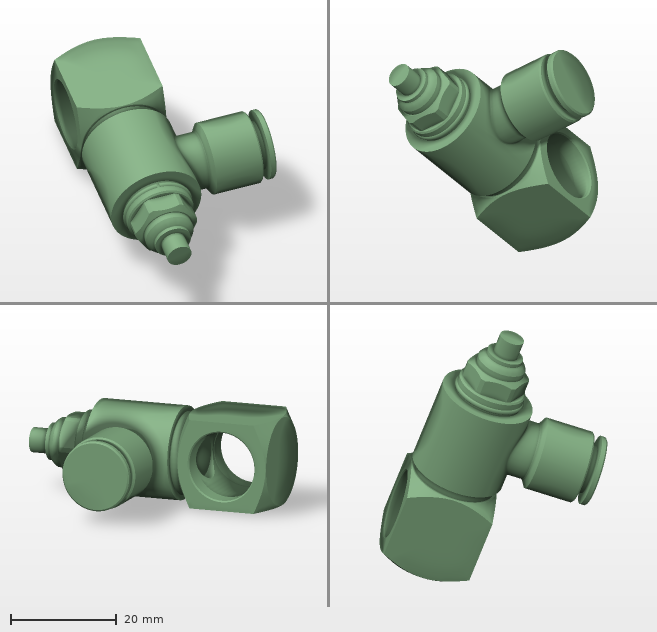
import cadquery as cq
import math


HEAD_LENGTH = 17.95
HEAD_WIDTH = 17.1
HEAD_FACE_RADIUS = 16.85 / 2
HEAD_CORNER_SETBACK = 2.5
HEAD_CORNER_RADIUS = HEAD_WIDTH / math.sqrt(2)
PORT_RADIUS = 13.2 / 2
PORT_CHAMFER = 0.25
RELIEF_RADIUS = 13.5 / 2
RELIEF_WIDTH = 9.65
PASSAGE_RADIUS = 4.4
PASSAGE_END = 16.05

NECK_RADIUS = 16.0 / 2
NECK_CHAMFER = 0.3
STEM_RADIUS = 13.2 / 2
BAND_END = 39.65
BAND_CHAMFER = 0.3

RING_START = 37.05
RING_WIRE_RADIUS = 0.55
RING_OUTER_RADIUS = 6.9
RING_SPLIT = 0.5

HEX_ACROSS_FLATS = 11.05
HEX_CORNER_RADIUS = 6.15
HEX_CHAMFER_START = 42.65
HEX_END = 43.4
HEX_END_RADIUS = 5.0

COLLAR_RADIUS = 9.5 / 2
COLLAR_END = 44.6
SHOULDER_RADIUS = 7.1 / 2
DOME_END = 45.8
DOME_BULGE = 0.15
SHOULDER_END = 46.6
ROD_RADIUS = 4.8 / 2
TOTAL_LENGTH = 50.3

SLEEVE_START = 19.75
SLEEVE_END = 36.7
SLEEVE_RADIUS = 18.0 / 2

BRANCH_X = 28.25
BRANCH_NECK_RADIUS = 11.0 / 2
BRANCH_FILLET = 0.3
JOINT_MARGIN = 0.5
BRANCH_CONE_START = 11.5
BRANCH_RIM_RADIUS = 5.7
BRANCH_RIM_HEIGHT = 0.25
SOCKET_RADIUS = 14.0 / 2
SOCKET_START = 12.65
SOCKET_END = 22.05
SOCKET_CHAMFER = 0.3
LIP_RADIUS = 5.05
LIP_END = 22.25
COLLET_NECK_RADIUS = 9.4 / 2
FLANGE_RADIUS = 13.5 / 2
COLLET_NECK_END = 23.3
FLANGE_START = 23.55
FLANGE_CHAMFER = 0.3
BRANCH_END = 24.7


def x_cylinder(radius, start, end):
    return cq.Workplane("YZ", origin=(start, 0, 0)).circle(radius).extrude(end - start)


def x_turning(profile):
    """Revolve a closed (x, radius) profile around the X axis."""
    return cq.Workplane("XY").polyline(profile).close().revolve(360, (0, 0, 0), (1, 0, 0))


def y_cylinder(radius, x, start, end):
    return cq.Workplane("XZ", origin=(x, start, 0)).circle(radius).extrude(start - end)


def make_head():
    """Square block with conical corners, and a cross port that is relieved at mid-width."""
    head = cq.Workplane("XY").box(HEAD_LENGTH, HEAD_WIDTH, HEAD_WIDTH).translate((HEAD_LENGTH / 2, 0, 0))
    head = head.intersect(x_turning([
        (0, 0),
        (0, HEAD_FACE_RADIUS),
        (HEAD_CORNER_SETBACK, HEAD_CORNER_RADIUS),
        (HEAD_LENGTH - HEAD_CORNER_SETBACK, HEAD_CORNER_RADIUS),
        (HEAD_LENGTH, HEAD_FACE_RADIUS),
        (HEAD_LENGTH, 0),
    ]))
    port = y_cylinder(PORT_RADIUS, HEAD_LENGTH / 2, -HEAD_WIDTH / 2, HEAD_WIDTH / 2)
    head = head.cut(port)
    relief = y_cylinder(RELIEF_RADIUS, HEAD_LENGTH / 2, -RELIEF_WIDTH / 2, RELIEF_WIDTH / 2)
    head = head.cut(relief)
    return head.faces("<Y or >Y").edges("%CIRCLE").chamfer(PORT_CHAMFER)


def make_stem():
    """Neck, bearing stem and end band."""
    return x_turning([
        (HEAD_LENGTH, 0),
        (HEAD_LENGTH, NECK_RADIUS),
        (SLEEVE_START - NECK_CHAMFER, NECK_RADIUS),
        (SLEEVE_START, NECK_RADIUS - NECK_CHAMFER),
        (SLEEVE_START, STEM_RADIUS),
        (BAND_END - BAND_CHAMFER, STEM_RADIUS),
        (BAND_END, STEM_RADIUS - BAND_CHAMFER),
        (BAND_END, 0),
    ])


def make_ring():
    """Round-wire ring with its split on the +Z side."""
    wire_x = RING_START + RING_WIRE_RADIUS
    wire_y = RING_OUTER_RADIUS - RING_WIRE_RADIUS
    ring = (
        cq.Workplane("XY").center(wire_x, wire_y).circle(RING_WIRE_RADIUS)
        .revolve(360, (0, -wire_y, 0), (1, -wire_y, 0))
    )
    split = cq.Workplane("XY").box(2 * RING_WIRE_RADIUS, RING_SPLIT, RING_OUTER_RADIUS, (True, True, False))
    return ring.cut(split.translate((wire_x, 0, 0)))


def make_nut():
    hex_diameter = HEX_ACROSS_FLATS / math.cos(math.pi / 6)
    prism = cq.Workplane("YZ", origin=(BAND_END, 0, 0)).polygon(6, hex_diameter).extrude(HEX_END - BAND_END)
    return prism.intersect(x_turning([
        (BAND_END, 0),
        (BAND_END, HEX_CORNER_RADIUS),
        (HEX_CHAMFER_START, HEX_CORNER_RADIUS),
        (HEX_END, HEX_END_RADIUS),
        (HEX_END, 0),
    ]))


def make_tip():
    """Collar, bulging dome, shoulder and end rod."""
    push = DOME_BULGE / math.sqrt(2)
    dome_middle = ((COLLAR_END + DOME_END) / 2 + push, (COLLAR_RADIUS + SHOULDER_RADIUS) / 2 + push)
    outline = (
        cq.Workplane("XY").moveTo(HEX_END, 0)
        .lineTo(HEX_END, COLLAR_RADIUS)
        .lineTo(COLLAR_END, COLLAR_RADIUS)
        .threePointArc(dome_middle, (DOME_END, SHOULDER_RADIUS))
        .lineTo(SHOULDER_END, SHOULDER_RADIUS)
        .lineTo(SHOULDER_END, ROD_RADIUS)
        .lineTo(TOTAL_LENGTH, ROD_RADIUS)
        .lineTo(TOTAL_LENGTH, 0)
        .close()
    )
    return outline.revolve(360, (0, 0, 0), (1, 0, 0))


def make_spindle():
    spindle = make_head().union(make_stem()).union(make_ring()).union(make_nut()).union(make_tip())
    return spindle.cut(x_cylinder(PASSAGE_RADIUS, HEAD_LENGTH / 2, PASSAGE_END))


def make_branch_end():
    """Socket and collet at the end of the branch, turned around the branch axis."""
    profile = [
        (0, BRANCH_CONE_START),
        (BRANCH_NECK_RADIUS, BRANCH_CONE_START),
        (BRANCH_RIM_RADIUS, BRANCH_CONE_START + BRANCH_RIM_HEIGHT),
        (SOCKET_RADIUS, SOCKET_START),
        (SOCKET_RADIUS, SOCKET_END - SOCKET_CHAMFER),
        (SOCKET_RADIUS - SOCKET_CHAMFER, SOCKET_END),
        (LIP_RADIUS, SOCKET_END),
        (LIP_RADIUS, LIP_END),
        (COLLET_NECK_RADIUS, LIP_END),
        (COLLET_NECK_RADIUS, COLLET_NECK_END),
        (FLANGE_RADIUS, FLANGE_START),
        (FLANGE_RADIUS, BRANCH_END - FLANGE_CHAMFER),
        (FLANGE_RADIUS - FLANGE_CHAMFER, BRANCH_END),
        (0, BRANCH_END),
    ]
    turned = cq.Workplane("XY").polyline(profile).close().revolve(360, (0, 0, 0), (0, 1, 0))
    return turned.translate((BRANCH_X, 0, 0))


def make_elbow():
    """Sleeve with its branch, bored to fit the stem."""
    sleeve = x_cylinder(SLEEVE_RADIUS, SLEEVE_START, SLEEVE_END)
    elbow = sleeve.union(y_cylinder(BRANCH_NECK_RADIUS, BRANCH_X, 0, BRANCH_CONE_START))
    joint = cq.selectors.BoxSelector(
        (SLEEVE_START + JOINT_MARGIN, JOINT_MARGIN, -SLEEVE_RADIUS),
        (SLEEVE_END - JOINT_MARGIN, BRANCH_CONE_START - JOINT_MARGIN, SLEEVE_RADIUS),
    )
    elbow = elbow.edges(joint).fillet(BRANCH_FILLET)
    elbow = elbow.union(make_branch_end())
    return elbow.cut(x_cylinder(STEM_RADIUS, SLEEVE_START, SLEEVE_END))


spindle = make_spindle()
elbow = make_elbow()
result = cq.Compound.makeCompound([spindle.val(), elbow.val()])